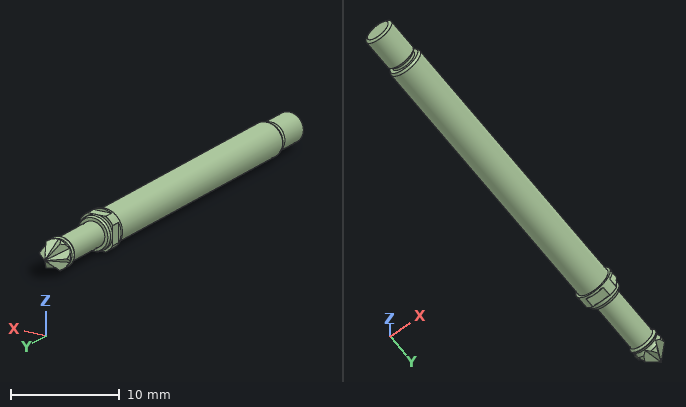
import cadquery as cq
import math

TOTAL_LENGTH = 43.1

BARREL_RADIUS = 1.745
BARREL_FRONT = 34.65
BARREL_BACK = 3.95
BARREL_CHAMFER_LENGTH = 0.25
BARREL_CHAMFER_DEPTH = 0.15
COLLAR_RADIUS = 2.005
COLLAR_FRONT = 34.0
COLLAR_BACK = 32.7
COLLAR_RIM = 0.25
FLAT_COUNT = 4

TAIL_RADIUS = 1.5
TAIL_FRONT = 3.45
TAIL_CHAMFER_LENGTH = 0.17
TAIL_CHAMFER_DEPTH = 0.3
NECK_RADIUS = 1.25
NECK_LENGTH = 0.25

STEM_RADIUS = 1.3
HEAD_RADIUS = 1.5
HEAD_BACK = 40.1
HEAD_BACK_CHAMFER = HEAD_RADIUS - STEM_RADIUS
RIM_LENGTH = 0.05
GROOVE_BACK = HEAD_BACK + HEAD_BACK_CHAMFER + RIM_LENGTH
GROOVE_FRONT = 41.0
GROOVE_DEPTH = 0.15
GROOVE_BACK_SLOPE_LENGTH = 0.2
RIDGE_COUNT = 6
RIDGE_LENGTH = 1.45
VALLEY_LENGTH = 2.67


def turned_body():
    """Whole probe as one turned shape, with a plain cylinder where the point will be cut."""
    barrel_end_radius = BARREL_RADIUS - BARREL_CHAMFER_DEPTH
    groove_radius = HEAD_RADIUS - GROOVE_DEPTH
    groove_bottom = GROOVE_BACK + GROOVE_BACK_SLOPE_LENGTH
    flank_length = GROOVE_FRONT - groove_bottom
    groove_arc_radius = (flank_length**2 + GROOVE_DEPTH**2) / (2 * GROOVE_DEPTH)
    return (
        cq.Workplane("XY")
        .moveTo(0, 0)
        .lineTo(TAIL_RADIUS - TAIL_CHAMFER_DEPTH, 0)
        .lineTo(TAIL_RADIUS, TAIL_CHAMFER_LENGTH)
        .lineTo(TAIL_RADIUS, TAIL_FRONT)
        .lineTo(NECK_RADIUS, BARREL_BACK - NECK_LENGTH)
        .lineTo(NECK_RADIUS, BARREL_BACK)
        .lineTo(barrel_end_radius, BARREL_BACK)
        .lineTo(BARREL_RADIUS, BARREL_BACK + BARREL_CHAMFER_LENGTH)
        .lineTo(BARREL_RADIUS, COLLAR_BACK)
        .lineTo(COLLAR_RADIUS, COLLAR_BACK)
        .lineTo(COLLAR_RADIUS, COLLAR_FRONT)
        .lineTo(BARREL_RADIUS, COLLAR_FRONT)
        .lineTo(BARREL_RADIUS, BARREL_FRONT - BARREL_CHAMFER_LENGTH)
        .lineTo(barrel_end_radius, BARREL_FRONT)
        .lineTo(STEM_RADIUS, BARREL_FRONT)
        .lineTo(STEM_RADIUS, HEAD_BACK)
        .lineTo(HEAD_RADIUS, HEAD_BACK + HEAD_BACK_CHAMFER)
        .lineTo(HEAD_RADIUS, GROOVE_BACK)
        .lineTo(groove_radius, groove_bottom)
        .radiusArc((HEAD_RADIUS, GROOVE_FRONT), groove_arc_radius)
        .lineTo(HEAD_RADIUS, TOTAL_LENGTH)
        .lineTo(0, TOTAL_LENGTH)
        .close()
        .revolve(360, (0, 0, 0), (0, 1, 0))
    )


def collar_flat_cutters():
    """Blocks that cut the collar down to the barrel radius at +Z, +X, -Z and -X, leaving a rear rim."""
    flats_back = COLLAR_BACK + COLLAR_RIM
    flats_length = COLLAR_FRONT - flats_back
    block = (
        cq.Workplane("XY")
        .box(2 * COLLAR_RADIUS, flats_length, COLLAR_RADIUS, centered=(True, False, False))
        .translate((0, flats_back, BARREL_RADIUS))
    )
    cutters = cq.Workplane("XY")
    for index in range(FLAT_COUNT):
        cutters = cutters.add(block.rotate((0, 0, 0), (0, 1, 0), index * 360 / FLAT_COUNT))
    return cutters.combine()


def star_pyramid(height):
    """Pyramid with alternating ridges and valleys, apex at the probe's front end, first ridge along +X."""
    apex = cq.Vector(0, TOTAL_LENGTH, 0)
    base_y = TOTAL_LENGTH - height
    corner_count = 2 * RIDGE_COUNT
    corners = []
    for index in range(corner_count):
        reach = RIDGE_LENGTH if index % 2 == 0 else VALLEY_LENGTH
        radius = HEAD_RADIUS * height / reach
        angle = index * 2 * math.pi / corner_count
        corners.append(cq.Vector(radius * math.cos(angle), base_y, radius * math.sin(angle)))
    faces = [cq.Face.makeFromWires(cq.Wire.makePolygon(corners, close=True))]
    for index, corner in enumerate(corners):
        triangle = [apex, corner, corners[(index + 1) % corner_count]]
        faces.append(cq.Face.makeFromWires(cq.Wire.makePolygon(triangle, close=True)))
    return cq.Workplane(cq.Solid.makeSolid(cq.Shell.makeShell(faces)))


def point_envelope():
    """Everything the probe may fill: the star pyramid, and a wide cylinder behind it."""
    pyramid_height = TOTAL_LENGTH - GROOVE_BACK
    behind = cq.Workplane("XZ").circle(2 * COLLAR_RADIUS).extrude(-GROOVE_BACK)
    return behind.union(star_pyramid(pyramid_height))


result = turned_body().cut(collar_flat_cutters()).intersect(point_envelope())